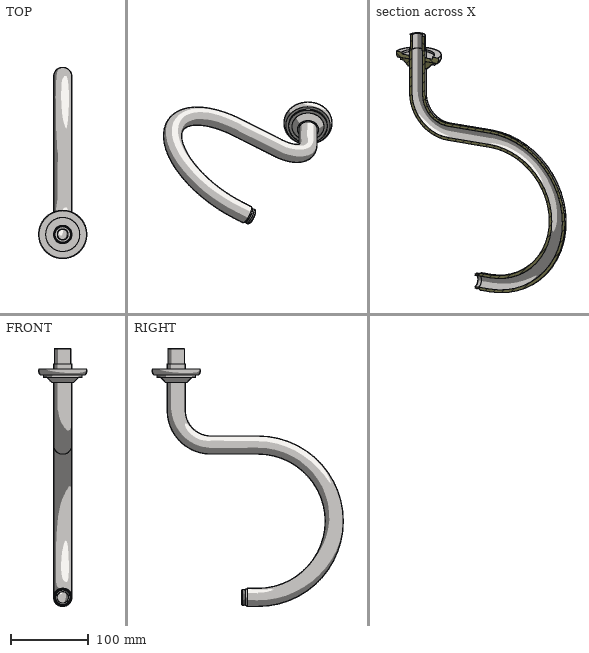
import cadquery as cq

total_height = 331.5
pipe_radius = 23.5 / 2
pipe_bore_radius = 7.3
elbow_radius = 44.5
hook_radius = 97.8
hook_start_y = 105.0
outlet_straight_length = 16.0
outlet_bevel_depth = 1.3
outlet_bevel_length = 2.3

inlet_nipple_radius = 10.5
inlet_nipple_length = 20.0
inlet_bore_radius = 6.5
inlet_chamfer = 0.5

outlet_nipple_radius = 10.3
outlet_nipple_length = 5.3
outlet_chamfer = 1.0
relief_depth = 0.3
relief_length = 2.3

plate_radius = 62.0 / 2
plate_top_radius = 30.5
plate_bottom_radius = 28.5
plate_top_drop = 26.2
plate_thickness = 8.3
plate_bulge_drop = 3.3
recess_radius = 22.0
recess_depth = 2.5

bell_disc_radius = 25.0
bell_disc_thickness = 2.5
cone_top_radius = 20.5
cone_bottom_radius = 13.5
cone_height = 7.0

outlet_z = pipe_radius
hook_center_z = outlet_z + hook_radius
run_z = hook_center_z + hook_radius
elbow_top_z = run_z + elbow_radius
pipe_top_z = total_height - inlet_nipple_length
pipe_end_y = hook_start_y - outlet_straight_length
outlet_tip_y = pipe_end_y - outlet_nipple_length
plate_top_z = total_height - plate_top_drop
plate_bottom_z = plate_top_z - plate_thickness
recess_floor_z = plate_top_z - recess_depth
cone_top_z = plate_bottom_z - bell_disc_thickness
cone_bottom_z = cone_top_z - cone_height


def revolve_about_z(half_profile):
    """Turn a closed half profile in the XZ plane around the Z axis."""
    return half_profile.close().revolve(360, (0, 0, 0), (0, 1, 0))


def revolve_about_outlet(half_profile):
    """Turn a closed half profile in the YZ plane around the outlet axis."""
    return half_profile.close().revolve(360, (0, outlet_z, 0), (1, outlet_z, 0))


def make_outlet_bevel_cutter():
    """Ring of triangular section that bevels the outlet end of the pipe."""
    outer_z = outlet_z + pipe_radius
    return revolve_about_outlet(
        cq.Workplane("YZ")
        .moveTo(pipe_end_y, outer_z - outlet_bevel_depth)
        .lineTo(pipe_end_y + outlet_bevel_length, outer_z)
        .lineTo(pipe_end_y, outer_z)
    )


def make_pipe():
    centreline = (
        cq.Workplane("YZ")
        .moveTo(0, pipe_top_z)
        .lineTo(0, elbow_top_z)
        .radiusArc((elbow_radius, run_z), -elbow_radius)
        .lineTo(hook_start_y, run_z)
        .threePointArc((hook_start_y + hook_radius, hook_center_z), (hook_start_y, outlet_z))
        .lineTo(pipe_end_y, outlet_z)
    )
    tube = (
        cq.Workplane("XY", origin=(0, 0, pipe_top_z))
        .circle(pipe_radius)
        .circle(pipe_bore_radius)
        .sweep(centreline)
    )
    return tube.cut(make_outlet_bevel_cutter())


def make_inlet_nipple():
    return revolve_about_z(
        cq.Workplane("XZ")
        .moveTo(inlet_bore_radius, pipe_top_z)
        .lineTo(inlet_nipple_radius, pipe_top_z)
        .lineTo(inlet_nipple_radius, total_height - inlet_chamfer)
        .lineTo(inlet_nipple_radius - inlet_chamfer, total_height)
        .lineTo(inlet_bore_radius, total_height)
    )


def make_outlet_nipple():
    bore_z = outlet_z + pipe_bore_radius
    outer_z = outlet_z + outlet_nipple_radius
    relief_z = outer_z - relief_depth
    relief_end_y = pipe_end_y - relief_length
    return revolve_about_outlet(
        cq.Workplane("YZ")
        .moveTo(pipe_end_y, bore_z)
        .lineTo(pipe_end_y, relief_z)
        .lineTo(relief_end_y, relief_z)
        .lineTo(relief_end_y, outer_z)
        .lineTo(outlet_tip_y + outlet_chamfer, outer_z)
        .lineTo(outlet_tip_y, outer_z - outlet_chamfer)
        .lineTo(outlet_tip_y, bore_z)
    )


def make_wall_plate():
    return revolve_about_z(
        cq.Workplane("XZ")
        .moveTo(pipe_radius, recess_floor_z)
        .lineTo(recess_radius, recess_floor_z)
        .lineTo(recess_radius, plate_top_z)
        .lineTo(plate_top_radius, plate_top_z)
        .threePointArc(
            (plate_radius, plate_top_z - plate_bulge_drop),
            (plate_bottom_radius, plate_bottom_z),
        )
        .lineTo(pipe_radius, plate_bottom_z)
    )


def make_bell():
    return revolve_about_z(
        cq.Workplane("XZ")
        .moveTo(pipe_radius, plate_bottom_z)
        .lineTo(bell_disc_radius, plate_bottom_z)
        .lineTo(bell_disc_radius, cone_top_z)
        .lineTo(cone_top_radius, cone_top_z)
        .lineTo(cone_bottom_radius, cone_bottom_z)
        .lineTo(pipe_radius, cone_bottom_z)
    )


pipe = make_pipe()
inlet_nipple = make_inlet_nipple()
outlet_nipple = make_outlet_nipple()
wall_plate = make_wall_plate()
bell = make_bell()

result = cq.Compound.makeCompound([
    pipe.val(),
    inlet_nipple.val(),
    outlet_nipple.val(),
    wall_plate.val(),
    bell.val(),
])